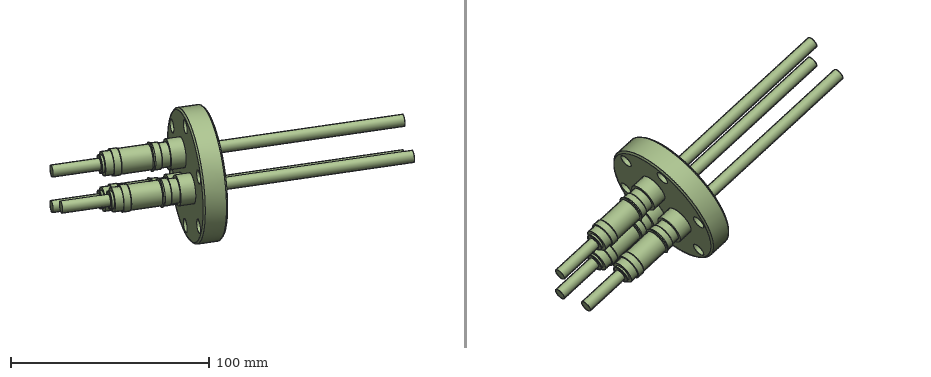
import cadquery as cq
import math

FLANGE_DIAMETER = 69.8
FLANGE_THICKNESS = 12.9
FLANGE_CHAMFER = 1.0

BOLT_COUNT = 6
BOLT_CIRCLE_RADIUS = 29.3
BOLT_HOLE_DIAMETER = 7.2
FIRST_BOLT_ANGLE = 90

FEEDTHROUGH_COUNT = 3
FEEDTHROUGH_CIRCLE_RADIUS = 12.2
FIRST_FEEDTHROUGH_ANGLE = 0

ROD_LENGTH = 184.2
ROD_RADIUS = 3.1
ROD_FRONT_REACH = 68.3

COLLAR_RADIUS = 8.0
NECK_RADIUS = 6.5
RING_RADIUS = 7.0
CLIP_RADIUS = 7.5
SLEEVE_RADIUS = 6.6
NUT_RADIUS = 7.0
NOSE_RADIUS = 6.3
SEAL_RADIUS = 4.6
SEAL_LIP_RADIUS = 4.8

COLLAR_END = 7.7
NECK_END = 12.0
RING_END = 15.7
CLIP_PEAK = 16.5
SLEEVE_START = 17.0
SLEEVE_END = 33.1
NUT_END = 37.2
NOSE_END = 41.6
SEAL_END = 42.9
SEAL_LIP_END = 43.3

LEAD_IN_LENGTH = 0.4


def cylinder(radius, start, end):
    """Cylinder on the Y axis between two distances in front of the flange face."""
    return cq.Workplane("XZ", origin=(0, -start, 0)).circle(radius).extrude(end - start)


def ring_positions(count, radius, first_angle):
    """Centers (X, Z) evenly spaced on a circle around the flange axis."""
    angles = [math.radians(first_angle + i * 360 / count) for i in range(count)]
    return [(radius * math.cos(a), radius * math.sin(a)) for a in angles]


def make_flange():
    """Chamfered disc with a circle of through holes."""
    flange = cylinder(FLANGE_DIAMETER / 2, -FLANGE_THICKNESS, 0).edges().chamfer(FLANGE_CHAMFER)
    holes = (
        cq.Workplane("XZ")
        .pushPoints(ring_positions(BOLT_COUNT, BOLT_CIRCLE_RADIUS, FIRST_BOLT_ANGLE))
        .circle(BOLT_HOLE_DIAMETER / 2)
        .extrude(-FLANGE_THICKNESS)
    )
    return flange.cut(holes)


def make_connector():
    """Stepped connector turned around the Y axis."""
    outline = [
        (COLLAR_RADIUS, 0),
        (COLLAR_RADIUS, COLLAR_END),
        (NECK_RADIUS, COLLAR_END),
        (NECK_RADIUS, NECK_END),
        (RING_RADIUS, NECK_END + LEAD_IN_LENGTH),
        (RING_RADIUS, RING_END),
        (CLIP_RADIUS, CLIP_PEAK),
        (SLEEVE_RADIUS, SLEEVE_START),
        (SLEEVE_RADIUS, SLEEVE_END),
        (NUT_RADIUS, SLEEVE_END + LEAD_IN_LENGTH),
        (NUT_RADIUS, NUT_END),
        (NOSE_RADIUS, NUT_END),
        (NOSE_RADIUS, NOSE_END),
        (SEAL_RADIUS, NOSE_END),
        (SEAL_RADIUS, SEAL_END),
        (SEAL_LIP_RADIUS, SEAL_END),
        (SEAL_LIP_RADIUS, SEAL_LIP_END),
    ]
    points = [(0, 0)] + [(radius, -distance) for radius, distance in outline] + [(0, -SEAL_LIP_END)]
    return cq.Workplane("XY").polyline(points).close().revolve(360, (0, 0, 0), (0, 1, 0))


def make_feedthrough():
    """Connector with its conductor rod, centered on the Y axis."""
    rod = cylinder(ROD_RADIUS, ROD_FRONT_REACH - ROD_LENGTH, ROD_FRONT_REACH)
    return make_connector().union(rod)


result = make_flange()
feedthrough = make_feedthrough()
for x, z in ring_positions(FEEDTHROUGH_COUNT, FEEDTHROUGH_CIRCLE_RADIUS, FIRST_FEEDTHROUGH_ANGLE):
    result = result.union(feedthrough.translate((x, 0, z)))